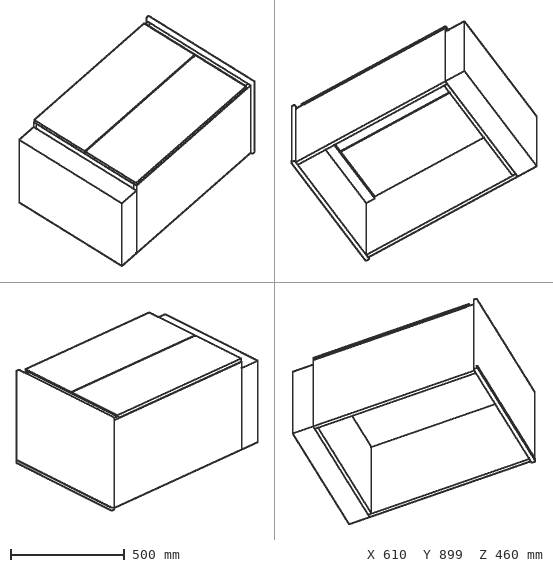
import cadquery as cq


total_height = 899.0
worktop_width = 610.0
worktop_depth = 460.0

board = 16.0
carcass_width = 590.0
carcass_depth = 440.0
plinth_height = 100.0
plinth_depth = 408.0
rail_height = 45.0

worktop_thickness = 16.0
worktop_edge_radius = 3.0
lip_rise = 3.0
lip_depth = 14.0

door_height = 752.5
door_thickness = 16.0
door_side_gap = 3.0
door_centre_gap = 4.0
door_bevel = 13.0

carcass_top = total_height - lip_rise - worktop_thickness
carcass_height = carcass_top - plinth_height
inner_width = carcass_width - 2 * board
door_width = (carcass_width - door_centre_gap) / 2 - door_side_gap


def block(width, height, depth, x_centre, y_bottom, z_back):
    """Box centred on x_centre, standing on y_bottom, with its back at z_back."""
    box = cq.Workplane("XY").box(width, height, depth, centered=(True, False, False))
    return box.translate((x_centre, y_bottom, z_back))


def make_plinth():
    return block(carcass_width, plinth_height, plinth_depth, 0, 0, 0)


def make_side_panel(side):
    """Full-height carcass side; side is -1 for left and +1 for right."""
    x_centre = side * (carcass_width - board) / 2
    return block(board, carcass_height, carcass_depth, x_centre, plinth_height, 0)


def make_bottom_panel():
    return block(inner_width, board, carcass_depth, 0, plinth_height, 0)


def make_front_rail():
    """Rail across the top of the opening, flush with the front edges of the side panels."""
    return block(inner_width, rail_height, board, 0, carcass_top - rail_height, carcass_depth - board)


def make_door(side):
    """Door with its top edge bevelled on the back as a finger grip."""
    x_centre = side * (door_centre_gap + door_width) / 2
    door = block(door_width, door_height, door_thickness, x_centre, plinth_height, carcass_depth)
    return door.faces(">Y").edges("<Z").chamfer(door_bevel)


def make_worktop():
    """Slab with rounded front and side edges, raised into a low lip along its back edge."""
    slab = block(worktop_width, worktop_thickness, worktop_depth, 0, carcass_top, 0)
    slab = slab.faces("not <Z").edges("not <Z").fillet(worktop_edge_radius)
    lip = block(worktop_width, worktop_thickness + lip_rise, lip_depth, 0, carcass_top, 0)
    lip = lip.edges("|Z").fillet(worktop_edge_radius)
    return slab.union(lip)


sides = (-1, 1)
plinth = make_plinth()
bottom_panel = make_bottom_panel()
front_rail = make_front_rail()
worktop = make_worktop()
side_panels = [make_side_panel(side) for side in sides]
doors = [make_door(side) for side in sides]

result = cq.Compound.makeCompound(
    [
        plinth.val(),
        bottom_panel.val(),
        front_rail.val(),
        worktop.val(),
        *[panel.val() for panel in side_panels],
        *[door.val() for door in doors],
    ]
)